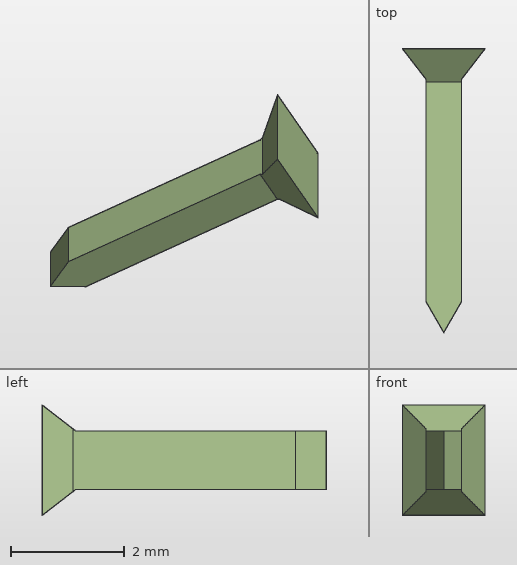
import cadquery as cq

length = 5.0
head_width = 1.46
head_height = 1.945

shank_width = 0.625
shank_height = 1.035
point_length = 0.545

side_flank_depth = 0.54
flank_slope = side_flank_depth / ((head_width - shank_width) / 2)
top_flank_depth = flank_slope * (head_height - shank_height) / 2


def width_profile():
    """Outline in XY, swept through the full head height: flared head, shank and point."""
    half_head = head_width / 2
    half_shank = shank_width / 2
    outline = [
        (0, 0),
        (half_shank, point_length),
        (half_shank, length - side_flank_depth),
        (half_head, length),
        (-half_head, length),
        (-half_shank, length - side_flank_depth),
        (-half_shank, point_length),
    ]
    return cq.Workplane("XY").polyline(outline).close().extrude(head_height / 2, both=True)


def height_profile():
    """Outline in YZ, swept through the full head width: flared head and straight shank."""
    half_head = head_height / 2
    half_shank = shank_height / 2
    outline = [
        (0, half_shank),
        (length - top_flank_depth, half_shank),
        (length, half_head),
        (length, -half_head),
        (length - top_flank_depth, -half_shank),
        (0, -half_shank),
    ]
    return cq.Workplane("YZ").polyline(outline).close().extrude(head_width / 2, both=True)


result = width_profile().intersect(height_profile())